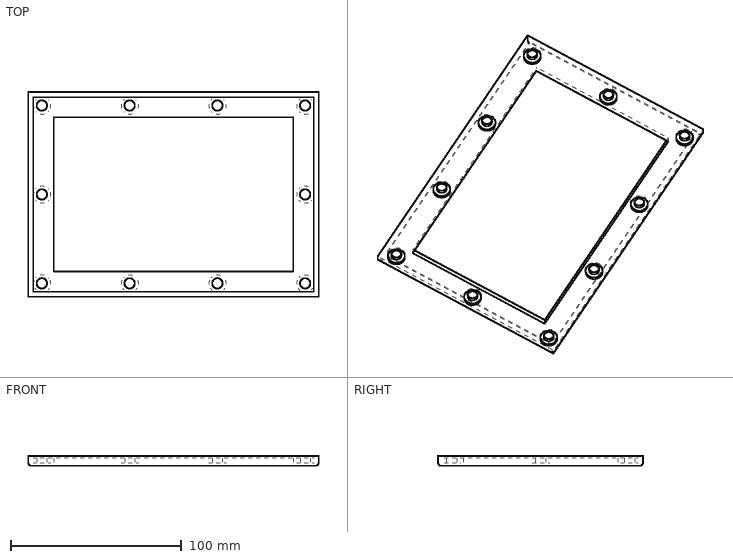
import cadquery as cq

length = 170.0
width = 120.0
thickness = 6.0
border = 15.0
bottom_edge_radius = 2.0

rim_width = 3.0
recess_depth = 1.0

hole_diameter = 6.0
hole_inset = 8.0
counterbore_diameter = 10.0
counterbore_depth = 2.0
holes_along_length = 4
holes_along_width = 3


def frame_plate():
    """Rectangular plate with rounded outer bottom edges, centred on Z and resting on the XY plane."""
    plate = cq.Workplane("XY").box(length, width, thickness, centered=(True, True, False))
    return plate.faces("<Z").edges().fillet(bottom_edge_radius)


def window():
    """Cutter for the rectangular opening."""
    opening_length = length - 2 * border
    opening_width = width - 2 * border
    return cq.Workplane("XY").rect(opening_length, opening_width).extrude(thickness)


def recess():
    """Cutter that lowers the top face inside the rim."""
    return (
        cq.Workplane("XY")
        .workplane(offset=thickness - recess_depth)
        .rect(length - 2 * rim_width, width - 2 * rim_width)
        .extrude(recess_depth)
    )


def hole_centres():
    """Evenly spaced positions around the border, each corner counted once."""
    half_span_x = length / 2 - hole_inset
    half_span_y = width / 2 - hole_inset
    pitch_x = 2 * half_span_x / (holes_along_length - 1)
    pitch_y = 2 * half_span_y / (holes_along_width - 1)
    centres = []
    for column in range(holes_along_length):
        for row in range(holes_along_width):
            on_side = column in (0, holes_along_length - 1)
            on_end = row in (0, holes_along_width - 1)
            if on_side or on_end:
                centres.append((column * pitch_x - half_span_x, row * pitch_y - half_span_y))
    return centres


def screw_holes():
    """Cutters for the through holes, each counterbored from the bottom face."""
    centres = cq.Workplane("XY").pushPoints(hole_centres())
    through_holes = centres.circle(hole_diameter / 2).extrude(thickness)
    counterbores = centres.circle(counterbore_diameter / 2).extrude(counterbore_depth)
    return through_holes.union(counterbores)


result = frame_plate().cut(window()).cut(recess()).cut(screw_holes())